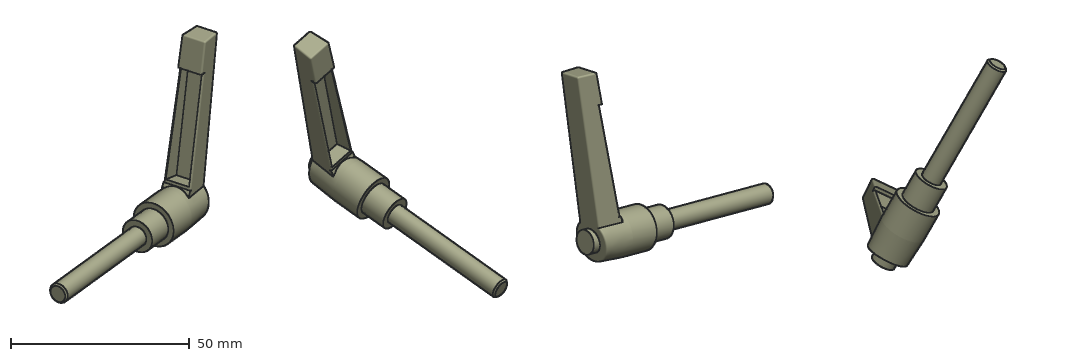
import cadquery as cq

stud_diameter = 6.0
stud_chamfer = 0.5
collar_diameter = 9.9
collar_start = 39.9
hub_diameter = 13.5
hub_start = 48.0
taper_start = 57.1
taper_end = 68.55
taper_end_radius = 6.15
button_diameter = 7.2
button_end = 69.0

lever_back = 75.0
lever_top = 50.3
back_lean = 0.165
front_lean = 0.217
tip_front_lean = 0.21
tip_depth = 7.0
tip_base = 40.7
rim_front_at_step = 67.1
back_half_width = 3.5
side_draft = 0.065
edge_round = 0.5
hub_edge_round = 0.45

pocket_base = 6.9
back_wall = 3.0
side_wall = 0.6
pocket_base_rise = back_lean
ceiling_slope = 0.3

foot_top = 6.75
foot_reach = 0.75
foot_height = 1.3
foot_back = 64.4


def back_y(z):
    return lever_back - back_lean * (lever_top - z)


def rim_y(z):
    return rim_front_at_step - front_lean * (tip_base - z)


def tip_front_y(z):
    return lever_back - tip_depth - tip_front_lean * (lever_top - z)


def half_width(y):
    return back_half_width + side_draft * (lever_back - y)


def cylinder(diameter, start, end):
    return cq.Workplane("XZ", origin=(0, start, 0)).circle(diameter / 2).extrude(start - end)


def side_profile(points, half_thickness):
    return cq.Workplane("YZ").polyline(points).close().extrude(half_thickness, both=True)


def drafted_sides(inset):
    """Upright wedge that limits a lever feature to a width narrowing toward +Y."""
    front = half_width(0) - inset
    back = half_width(lever_back) - inset
    outline = [(-front, 0), (front, 0), (back, lever_back), (-back, lever_back)]
    return cq.Workplane("XY").polyline(outline).close().extrude(lever_top)


def make_hub():
    hub_radius = hub_diameter / 2
    outline = [
        (0, hub_start),
        (hub_radius, hub_start),
        (hub_radius, taper_start),
        (taper_end_radius, taper_end),
        (0, taper_end),
    ]
    hub = cq.Workplane("XY").polyline(outline).close().revolve(360, (0, 0, 0), (0, 1, 0))
    low, high = -hub_diameter, hub_diameter
    hub_envelope = side_profile(
        [(0, low), (back_y(low), low), (back_y(high), high), (0, high)], hub_diameter
    )
    return hub.intersect(hub_envelope).faces(">Y").edges().fillet(hub_edge_round)


def make_lever():
    outline = [
        (back_y(0), 0),
        (back_y(lever_top), lever_top),
        (tip_front_y(lever_top), lever_top),
        (tip_front_y(tip_base), tip_base),
        (rim_y(tip_base), tip_base),
        (rim_y(0), 0),
    ]
    lever = side_profile(outline, hub_diameter).intersect(drafted_sides(0))
    rounded_edges = lever.edges("not(#Z or |X)").add(lever.edges(">Z"))
    return rounded_edges.fillet(edge_round)


def make_foot():
    """Sloped foot in the corner between the lever's front and the hub."""
    outline = [
        (rim_y(foot_top), foot_top),
        (rim_y(foot_top) - foot_reach, foot_top - foot_height),
        (rim_y(0), 0),
        (foot_back, 0),
        (foot_back, foot_top - foot_height),
    ]
    return side_profile(outline, hub_diameter).intersect(drafted_sides(0))


def make_pocket():
    floor_base = back_y(pocket_base) - back_wall
    mouth_base = rim_y(pocket_base) - edge_round
    lip = tip_front_y(tip_base)
    floor_top = back_y(tip_base) - back_wall
    floor_top_z = tip_base - ceiling_slope * (floor_top - lip)
    outline = [
        (floor_base, pocket_base),
        (back_y(floor_top_z) - back_wall, floor_top_z),
        (lip, tip_base),
        (mouth_base, tip_base),
        (mouth_base, pocket_base + pocket_base_rise * (floor_base - mouth_base)),
    ]
    return side_profile(outline, hub_diameter).intersect(drafted_sides(side_wall))


stud = cylinder(stud_diameter, 0, hub_start).faces("<Y").chamfer(stud_chamfer)
collar = cylinder(collar_diameter, collar_start, hub_start)
button = cylinder(button_diameter, taper_start, button_end)
handle = make_hub().union(make_lever()).union(make_foot()).cut(make_pocket())
result = handle.union(button).union(collar).union(stud)